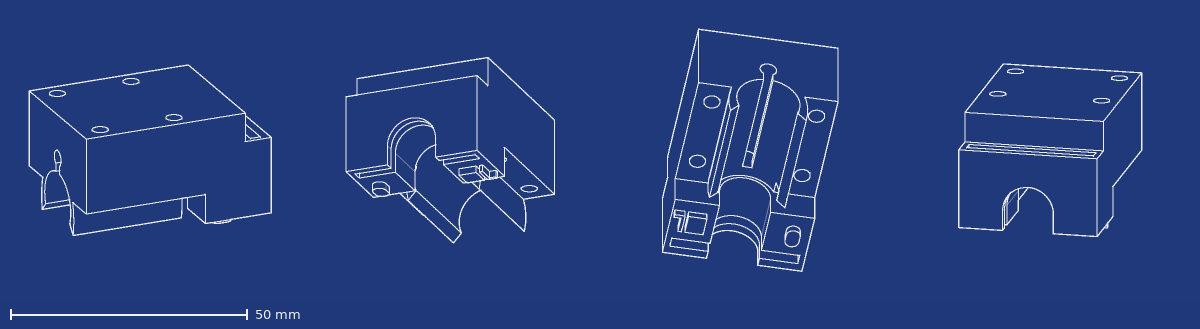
import cadquery as cq

WIDTH = 30.0
LENGTH = 42.75
BLOCK_HEIGHT = 23.7
FRONT_UNDERSIDE_Z = 6.63
REAR_BLOCK_START_Y = 27.55
STEP_LENGTH = 6.0
STEP_DEPTH = 6.5

SEAT_RADIUS = 6.8
SEAT_CENTER_Z = 3.75
ARCH_RADIUS = 11.0 / 2
ARCH_CENTER_Z = 4.35

CLIP_LENGTH = 25.0
CLIP_ROOT = (7.9, FRONT_UNDERSIDE_Z)
CLIP_BULGE = (8.45, 3.0)
CLIP_TIP = (8.12, -0.8)
CLIP_LIP = (6.25, 1.25)
CLIP_OVERLAP = 0.43

KEYHOLE_DIAMETER = 3.5
KEYHOLE_CENTER_Z = 13.8
KEYHOLE_SLIT_WIDTH = 2.0

HOLE_DIAMETER = 3.4
HOLE_OFFSET_X = 11.25
HOLE_ROWS_Y = (4.87, 21.9)

SLOT_WIDTH = 27.5
SLOT_LENGTH = 2.3
SLOT_WALL = 2.0

PAD_HEIGHT = 1.5
PAD_LENGTH = 4.55
PAD_FRONT_Y = 30.5
PAD_CENTER_Y = PAD_FRONT_Y + PAD_LENGTH / 2
L_PAD_X = -13.42
L_PAD_WIDTH = 2.22
L_PAD_STROKE = 0.75
WIDE_PAD_X = -9.6
WIDE_PAD_WIDTH = 3.95
ROUND_PAD_X = 11.15
ROUND_PAD_WIDTH = 3.0


def make_block():
    """Stepped side profile extruded across the full width."""
    return (
        cq.Workplane("YZ")
        .moveTo(0, FRONT_UNDERSIDE_Z)
        .lineTo(REAR_BLOCK_START_Y, FRONT_UNDERSIDE_Z)
        .lineTo(REAR_BLOCK_START_Y, 0)
        .lineTo(LENGTH, 0)
        .lineTo(LENGTH, BLOCK_HEIGHT - STEP_DEPTH)
        .lineTo(LENGTH - STEP_LENGTH, BLOCK_HEIGHT - STEP_DEPTH)
        .lineTo(LENGTH - STEP_LENGTH, BLOCK_HEIGHT)
        .lineTo(0, BLOCK_HEIGHT)
        .close()
        .extrude(WIDTH / 2, both=True)
    )


def along_y(length):
    """Sketch plane at Y = length, so that an extrusion of that length ends at the front face."""
    return cq.Workplane("XZ", origin=(0, length, 0))


def make_clip_arm(side):
    """One clip arm; its inner face is left for the seat to cut."""
    top_z = FRONT_UNDERSIDE_Z + CLIP_OVERLAP
    return (
        along_y(CLIP_LENGTH)
        .moveTo(side * CLIP_ROOT[0], CLIP_ROOT[1])
        .threePointArc((side * CLIP_BULGE[0], CLIP_BULGE[1]), (side * CLIP_TIP[0], CLIP_TIP[1]))
        .lineTo(side * CLIP_LIP[0], CLIP_LIP[1])
        .lineTo(side * ARCH_RADIUS, FRONT_UNDERSIDE_Z)
        .lineTo(side * ARCH_RADIUS, top_z)
        .lineTo(side * CLIP_ROOT[0], top_z)
        .close()
        .extrude(CLIP_LENGTH)
    )


def make_seat():
    """Round seat from the front face to the rear block."""
    plane = along_y(REAR_BLOCK_START_Y).center(0, SEAT_CENTER_Z)
    return plane.circle(SEAT_RADIUS).extrude(REAR_BLOCK_START_Y)


def make_keyhole():
    """Round bore joined to the seat by a slit, as deep as the clip arms are long."""
    plane = along_y(CLIP_LENGTH)
    slit_height = KEYHOLE_CENTER_Z - SEAT_CENTER_Z
    slit_center_z = (KEYHOLE_CENTER_Z + SEAT_CENTER_Z) / 2
    bore = plane.center(0, KEYHOLE_CENTER_Z).circle(KEYHOLE_DIAMETER / 2).extrude(CLIP_LENGTH)
    slit = plane.center(0, slit_center_z).rect(KEYHOLE_SLIT_WIDTH, slit_height).extrude(CLIP_LENGTH)
    return bore.union(slit)


def make_arch():
    """Round-topped channel running the whole length."""
    return (
        along_y(LENGTH)
        .moveTo(-ARCH_RADIUS, -PAD_HEIGHT)
        .lineTo(-ARCH_RADIUS, ARCH_CENTER_Z)
        .threePointArc((0, ARCH_CENTER_Z + ARCH_RADIUS), (ARCH_RADIUS, ARCH_CENTER_Z))
        .lineTo(ARCH_RADIUS, -PAD_HEIGHT)
        .close()
        .extrude(LENGTH)
    )


def make_screw_holes():
    """Four vertical through holes, mirrored about the middle plane."""
    centers = [(side * HOLE_OFFSET_X, y) for side in (-1, 1) for y in HOLE_ROWS_Y]
    return cq.Workplane("XY").pushPoints(centers).circle(HOLE_DIAMETER / 2).extrude(BLOCK_HEIGHT)


def make_strap_slot():
    """Wide slot through the rear step, set in from the rear face by a thin wall."""
    center_y = LENGTH - SLOT_WALL - SLOT_LENGTH / 2
    return cq.Workplane("XY").center(0, center_y).rect(SLOT_WIDTH, SLOT_LENGTH).extrude(BLOCK_HEIGHT)


def make_rectangular_pad(center_x, center_y, width, length):
    """Rectangular pad hanging from the underside of the rear block."""
    return cq.Workplane("XY").center(center_x, center_y).rect(width, length).extrude(-PAD_HEIGHT)


def make_l_pad():
    """Foot along the front edge and a stem along the side nearer the arch."""
    foot_y = PAD_FRONT_Y + L_PAD_STROKE / 2
    stem_x = L_PAD_X + (L_PAD_WIDTH - L_PAD_STROKE) / 2
    foot = make_rectangular_pad(L_PAD_X, foot_y, L_PAD_WIDTH, L_PAD_STROKE)
    stem = make_rectangular_pad(stem_x, PAD_CENTER_Y, L_PAD_STROKE, PAD_LENGTH)
    return foot.union(stem)


def make_pads():
    """All the pads that stand below the rear block."""
    wide_pad = make_rectangular_pad(WIDE_PAD_X, PAD_CENTER_Y, WIDE_PAD_WIDTH, PAD_LENGTH)
    round_pad = (
        cq.Workplane("XY")
        .center(ROUND_PAD_X, PAD_CENTER_Y)
        .slot2D(PAD_LENGTH, ROUND_PAD_WIDTH, 90)
        .extrude(-PAD_HEIGHT)
    )
    return make_l_pad().union(wide_pad).union(round_pad)


result = make_block()
for arm_side in (-1, 1):
    result = result.union(make_clip_arm(arm_side))
result = result.union(make_pads())
for cutter in (make_arch(), make_seat(), make_keyhole(), make_screw_holes(), make_strap_slot()):
    result = result.cut(cutter)